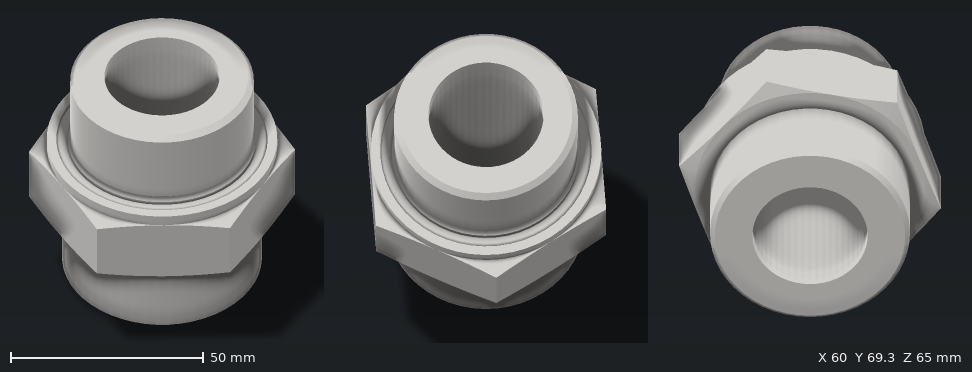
import cadquery as cq
import math

total_height = 65.0
hex_corners = 69.3
hex_flats = hex_corners * math.cos(math.pi / 6)
bore_diameter = 30.0

lower_diameter = 52.0
lower_height = 21.95
lower_chamfer = 1.25

hex_height = 18.0
hex_chamfer_angle = math.radians(15)
collar_height = 3.05
collar_diameter = hex_flats
hex_top = lower_height + hex_height
collar_top = hex_top + collar_height

upper_diameter = 47.8
upper_chamfer = 1.45

ring_outer_diameter = 55.0
ring_inner_diameter = 49.0
ring_section_radius = (ring_outer_diameter - ring_inner_diameter) / 4
ring_center_radius = (ring_outer_diameter + ring_inner_diameter) / 4


def spigot(diameter, height, chamfer, base_z):
    """Cylinder with both rims chamfered."""
    return (
        cq.Workplane("XY").workplane(offset=base_z)
        .circle(diameter / 2).extrude(height)
        .faces("<Z or >Z").chamfer(chamfer)
    )


def chamfered_hexagon():
    """Hexagon with corners on the Y axis, trimmed by a shallow cone at each end."""
    corner_drop = (hex_corners - hex_flats) / 2 * math.tan(hex_chamfer_angle)
    prism = (
        cq.Workplane("XY").workplane(offset=lower_height)
        .polygon(6, hex_corners).extrude(hex_height)
        .rotate((0, 0, 0), (0, 0, 1), 30)
    )
    envelope = (
        cq.Workplane("XZ")
        .moveTo(0, lower_height)
        .lineTo(hex_flats / 2, lower_height)
        .lineTo(hex_corners / 2, lower_height + corner_drop)
        .lineTo(hex_corners / 2, hex_top - corner_drop)
        .lineTo(hex_flats / 2, hex_top)
        .lineTo(0, hex_top)
        .close().revolve(360, (0, 0, 0), (0, 1, 0))
    )
    return prism.intersect(envelope)


def ring_groove():
    """Rectangular groove, half as deep as the ring section, that houses the ring."""
    return (
        cq.Workplane("XY").workplane(offset=collar_top - ring_section_radius)
        .circle(ring_outer_diameter / 2).circle(ring_inner_diameter / 2)
        .extrude(ring_section_radius)
    )


def sealing_ring():
    """Round-section ring whose crown is level with the collar face."""
    return (
        cq.Workplane("XZ")
        .center(ring_center_radius, collar_top - ring_section_radius)
        .circle(ring_section_radius)
        .revolve(360, (-ring_center_radius, 0, 0), (-ring_center_radius, 1, 0))
    )


collar = (
    cq.Workplane("XY").workplane(offset=hex_top)
    .circle(collar_diameter / 2).extrude(collar_height)
)
bore = cq.Workplane("XY").circle(bore_diameter / 2).extrude(total_height)

result = (
    spigot(lower_diameter, lower_height, lower_chamfer, 0)
    .union(chamfered_hexagon())
    .union(collar)
    .union(spigot(upper_diameter, total_height - collar_top, upper_chamfer, collar_top))
    .cut(ring_groove())
    .union(sealing_ring())
    .cut(bore)
)